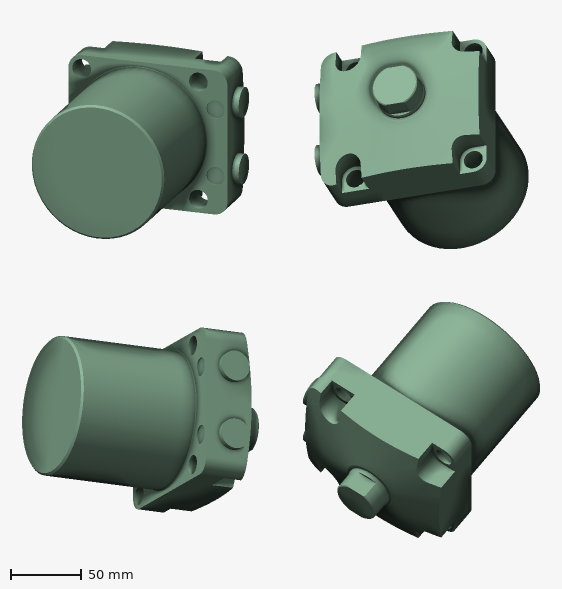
import cadquery as cq
import math


head_half_height = 54.0
head_left = -head_half_height
head_right = 65.8
head_corner_radius = 10.0
cone_flat_radius = 20.0
cone_flat_y = 48.3
cone_slope = math.tan(math.radians(15.0))

barrel_radius = 50.0
barrel_length = 90.0
barrel_end_chamfer = 1.5
barrel_base_bevel = 0.5

bolt_offset = 44.0
bolt_hole_diameter = 14.0
notch_radius = 10.0
notch_floor_y = 20.0

port_offset = 25.0
seal_recess_x = 57.0
seal_recess_diameter = 13.5
seal_recess_depth = 1.1
plug_y = 21.0
plug_diameter = 22.0
plug_height = 5.0

rod_end_y = 65.5
rod_radius = 16.75
rod_end_chamfer = 0.8
collar_radius = 17.5
collar_edge_y = 50.1
collar_top_y = 52.0
rod_flat_width = 30.0
rod_flat_length = 14.0

signs = (-1, 1)


def block(x_range, y_range, z_range):
    """Box spanning the given (low, high) limits on each axis."""
    limits = (x_range, y_range, z_range)
    size = [high - low for low, high in limits]
    corner = cq.Vector(*[low for low, high in limits])
    return cq.Workplane(cq.Solid.makeBox(*size, corner))


def rod_along_y(x, z, radius, y_start, y_end):
    """Cylinder parallel to Y between two Y positions."""
    start = cq.Vector(x, y_start, z)
    return cq.Workplane(cq.Solid.makeCylinder(radius, y_end - y_start, start, cq.Vector(0, 1, 0)))


def turned(profile):
    """Revolve a list of (radius, y) points about the cylinder axis."""
    return cq.Workplane("XY").polyline(profile).close().revolve(360, (0, 0), (0, 1))


def make_head():
    """Rounded block whose back is a shallow cone with a flat centre."""
    head = block((head_left, head_right), (0, cone_flat_y), (-head_half_height, head_half_height))
    head = head.edges("|Y").fillet(head_corner_radius)
    envelope_radius = math.hypot(head_right, head_half_height)
    cone_rim_y = cone_flat_y - cone_slope * (envelope_radius - cone_flat_radius)
    cone_envelope = turned([
        (0, 0),
        (envelope_radius, 0),
        (envelope_radius, cone_rim_y),
        (cone_flat_radius, cone_flat_y),
        (0, cone_flat_y),
    ])
    return head.intersect(cone_envelope)


def make_barrel():
    """Closed cylinder with a chamfered end and a small bevel where it meets the head."""
    return turned([
        (0, 0),
        (barrel_radius + barrel_base_bevel, 0),
        (barrel_radius, -barrel_base_bevel),
        (barrel_radius, barrel_end_chamfer - barrel_length),
        (barrel_radius - barrel_end_chamfer, -barrel_length),
        (0, -barrel_length),
    ])


def make_notch(x_side, z_side):
    """Screw-head clearance: a round pocket open to the block's edges.

    Every notch opens towards the nearest Z edge; the -X ones also open towards the X edge.
    """
    depth = (notch_floor_y, cone_flat_y)
    bolt_x = x_side * bolt_offset
    bolt_z = z_side * bolt_offset
    z_opening = tuple(sorted((bolt_z, z_side * head_half_height)))
    x_slot = (bolt_x - notch_radius, bolt_x + notch_radius)
    notch = rod_along_y(bolt_x, bolt_z, notch_radius, *depth)
    notch = notch.union(block(x_slot, depth, z_opening))
    if x_side < 0:
        z_slot = (bolt_z - notch_radius, bolt_z + notch_radius)
        notch = notch.union(block((head_left, bolt_x), depth, z_slot))
    return notch


def make_housing():
    housing = make_head().union(make_barrel())
    for z_side in signs:
        for x_side in signs:
            bolt_hole = rod_along_y(
                x_side * bolt_offset, z_side * bolt_offset, bolt_hole_diameter / 2, 0, cone_flat_y
            )
            housing = housing.cut(bolt_hole).cut(make_notch(x_side, z_side))
        seal_recess = rod_along_y(
            seal_recess_x, z_side * port_offset, seal_recess_diameter / 2, 0, seal_recess_depth
        )
        housing = housing.cut(seal_recess)
    return housing


def make_piston_rod():
    """Rod end with a tapered collar seated on the head and two spanner flats facing +Z and -Z."""
    rod = turned([
        (0, cone_flat_y),
        (collar_radius, cone_flat_y),
        (collar_radius, collar_edge_y),
        (rod_radius, collar_top_y),
        (rod_radius, rod_end_y - rod_end_chamfer),
        (rod_radius - rod_end_chamfer, rod_end_y),
        (0, rod_end_y),
    ])
    for z_side in signs:
        flat_z = tuple(sorted((z_side * rod_flat_width / 2, z_side * collar_radius)))
        flat_y = (rod_end_y - rod_flat_length, rod_end_y)
        rod = rod.cut(block((-collar_radius, collar_radius), flat_y, flat_z))
    return rod


def make_port_plug(z):
    """Disc standing on the +X face of the head."""
    base = cq.Vector(head_right, plug_y, z)
    return cq.Workplane(cq.Solid.makeCylinder(plug_diameter / 2, plug_height, base, cq.Vector(1, 0, 0)))


housing = make_housing()
piston_rod = make_piston_rod()
port_plugs = [make_port_plug(z_side * port_offset) for z_side in signs]

result = cq.Compound.makeCompound([
    housing.val(),
    piston_rod.val(),
    *[plug.val() for plug in port_plugs],
])